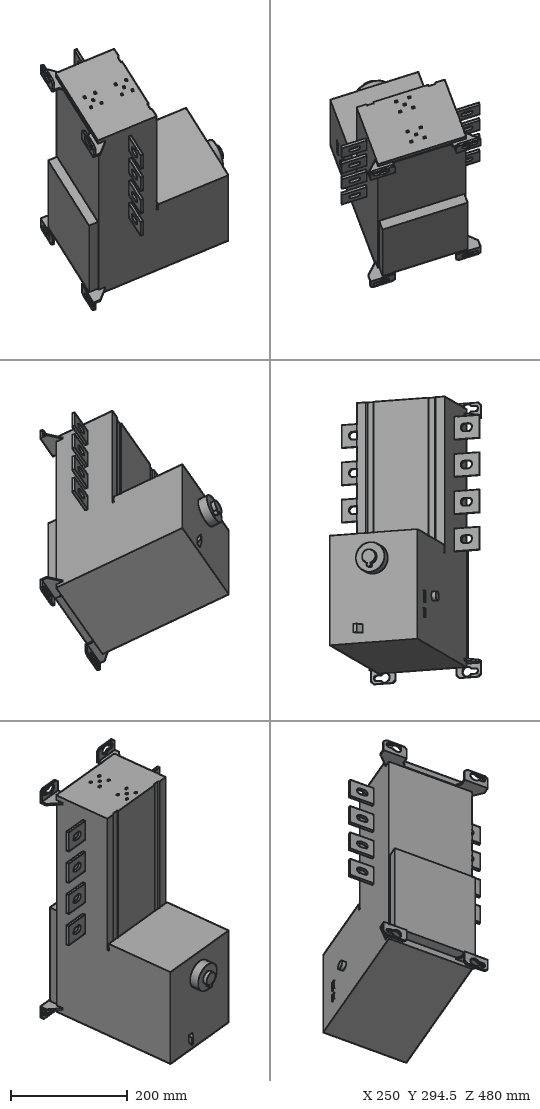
import cadquery as cq

total_height = 480.0
body_width = 160.0
body_front = 20.0
cap_front = 18.5
foot_overhang = 14.0
tower_back = 131.5
box_back = 270.0
box_height = 192.0
gap_width = 3.0
gap_depth = 14.0

half_body = body_width / 2
body_bottom = foot_overhang
body_top = total_height - foot_overhang
box_top = body_bottom + box_height

groove_inner = 50.0
groove_floor_outer = 61.0
groove_depth = 2.5

panel_width = 154.5
panel_front = 3.0
panel_bottom = 28.0
panel_top = 223.0

foot_outer = 100.0
foot_width = 44.0
foot_height = 27.5
foot_thickness = 4.0
foot_chamfer = 5.0
foot_straight = 13.0
foot_inner = foot_outer - foot_width
foot_depth = 38.5
keyhole_x = 75.0
keyhole_slot_x = 90.0
keyhole_radius = 8.5
keyhole_slot_radius = 5.0
keyhole_edge = 10.0

terminal_span = 250.0
terminal_count = 4
terminal_pitch = 65.5
terminal_top_z = 420.5
terminal_height = 40.0
terminal_thickness = 5.0
terminal_y = 80.0
terminal_hole_x = 102.0
terminal_hole_length = 20.0
terminal_hole_height = 14.0

button_radius = 8.0
button_height = 7.5
button_y = 190.5
button_z = 104.0
window_y = 232.5
window_width = 7.5
window_depth = 3.0
windows = [(95.5, 19.5), (67.0, 15.5)]

knob_z = 159.5
knob_radius = 26.0
knob_back = 287.0
hub_radius = 12.0
hub_back = 294.5
pointer_radius = 4.0
pointer_z = 145.0

tab_bottom = 31.5
tab_top = 46.5
tab_root_inner = 19.5
tab_root_outer = 29.5
tab_tip_inner = (27.5, 278.0)
tab_tip_outer = (33.0, 279.5)

pocket_length = 4.5
pocket_width = 3.0
pocket_depth = 3.0
pocket_group_y = [50.5, 110.0]
pocket_offset_x = 12.0
pocket_offset_y = 10.0


def block(x_range, y_range, z_range):
    """Box spanning the given ranges."""
    size = [high - low for low, high in (x_range, y_range, z_range)]
    corner = (x_range[0], y_range[0], z_range[0])
    return cq.Workplane("XY").box(*size, centered=False).translate(corner)


def rod(x, z, radius, y_start, y_end):
    """Cylinder along Y."""
    plane = cq.Workplane("XZ", origin=(x, y_start, z))
    return plane.circle(radius).extrude(y_start - y_end)


def mirrored_x(shape):
    return shape.union(shape.mirror("YZ"))


def enclosure():
    cap_bottom = total_height - foot_height
    profile = [
        (body_front, body_bottom),
        (box_back, body_bottom),
        (box_back, box_top),
        (tower_back + gap_width, box_top),
        (tower_back + gap_width, box_top - gap_depth),
        (tower_back, box_top - gap_depth),
        (tower_back, body_top),
        (cap_front, body_top),
        (cap_front, cap_bottom),
        (body_front, cap_bottom),
    ]
    return cq.Workplane("YZ").polyline(profile).close().extrude(half_body, both=True)


def tower_grooves():
    groove_floor = tower_back - groove_depth
    outline = [
        (groove_inner, tower_back),
        (groove_inner, groove_floor),
        (groove_floor_outer, groove_floor),
        (groove_floor_outer + groove_depth, tower_back),
    ]
    groove_bottom = box_top - gap_depth
    plane = cq.Workplane("XY", origin=(0, 0, groove_bottom))
    groove = plane.polyline(outline).close().extrude(body_top - groove_bottom)
    return mirrored_x(groove)


def front_panel():
    half_panel = panel_width / 2
    return block((-half_panel, half_panel), (panel_front, body_front), (panel_bottom, panel_top))


def upper_foot():
    """Angle foot at the top on the +X side, with a keyhole in its flange."""
    flange_bottom = total_height - foot_height
    flange = block(
        (foot_inner, foot_outer), (0, foot_thickness), (flange_bottom, total_height)
    ).edges("|Y and >Z").chamfer(foot_chamfer)

    taper = foot_depth - foot_straight
    web_outline = [
        (foot_inner, 0),
        (foot_outer, 0),
        (foot_outer, foot_straight),
        (foot_outer - taper, foot_depth),
        (foot_inner - taper, foot_depth),
        (foot_inner, foot_straight),
    ]
    web_plane = cq.Workplane("XY", origin=(0, 0, flange_bottom))
    web = web_plane.polyline(web_outline).close().extrude(foot_thickness)

    hole_z = total_height - keyhole_edge
    keyhole = rod(keyhole_x, hole_z, keyhole_radius, 0, foot_thickness)
    keyhole = keyhole.union(rod(keyhole_slot_x, hole_z, keyhole_slot_radius, 0, foot_thickness))
    keyhole = keyhole.union(block(
        (keyhole_x, keyhole_slot_x),
        (0, foot_thickness),
        (hole_z - keyhole_slot_radius, hole_z + keyhole_slot_radius),
    ))
    return flange.union(web).cut(keyhole)


def feet():
    upper = mirrored_x(upper_foot())
    return upper.union(upper.mirror("XY", (0, 0, total_height / 2)))


def terminal(z):
    """Bar through the tower with an oblong hole at each end."""
    plane = cq.Workplane("XZ", origin=(0, terminal_y, z))
    bar = plane.rect(terminal_span, terminal_height).extrude(terminal_thickness / 2, both=True)
    holes = plane.pushPoints([(-terminal_hole_x, 0), (terminal_hole_x, 0)]).slot2D(
        terminal_hole_length, terminal_hole_height
    ).extrude(terminal_thickness, both=True)
    return bar.cut(holes)


def side_button():
    plane = cq.Workplane("YZ", origin=(-half_body, button_y, button_z))
    return plane.circle(button_radius).extrude(-button_height)


def side_window(z, height):
    plane = cq.Workplane("YZ", origin=(-half_body, window_y, z))
    return plane.rect(window_width, height).extrude(window_depth)


def rotary_knob():
    knob = rod(0, knob_z, knob_radius, box_back, knob_back)
    hub = rod(0, knob_z, hub_radius, knob_back, hub_back)
    pointer = rod(0, pointer_z, pointer_radius, knob_back, hub_back)
    return knob.union(hub).union(pointer)


def back_tab():
    outline = [
        (tab_root_inner, box_back),
        tab_tip_inner,
        tab_tip_outer,
        (tab_root_outer, box_back),
    ]
    plane = cq.Workplane("XY", origin=(0, 0, tab_bottom))
    return plane.polyline(outline).close().extrude(tab_top - tab_bottom)


def top_pockets():
    centers = []
    for group_y in pocket_group_y:
        centers.append((0, group_y))
        for side_x in (-1, 1):
            for side_y in (-1, 1):
                centers.append((side_x * pocket_offset_x, group_y + side_y * pocket_offset_y))
    plane = cq.Workplane("XY", origin=(0, 0, body_top))
    return plane.pushPoints(centers).rect(pocket_length, pocket_width).extrude(-pocket_depth)


result = enclosure().cut(tower_grooves()).cut(top_pockets())
for window_z, window_height in windows:
    result = result.cut(side_window(window_z, window_height))

result = result.union(front_panel()).union(feet())
for index in range(terminal_count):
    result = result.union(terminal(terminal_top_z - index * terminal_pitch))
result = result.union(side_button()).union(rotary_knob()).union(back_tab())